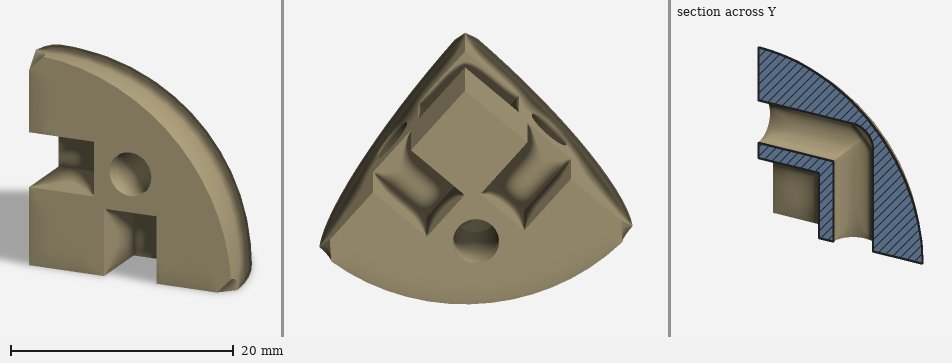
import cadquery as cq
import math

side = 19.95
hole_diameter = 4.13
drill_angle = 118.0
hole_position = 10.0
notch_width = 5.19
notch_depth = 6.38
notch_center = hole_position
tip_size = 1.44

ball_radius = math.hypot(side, tip_size)
hole_radius = hole_diameter / 2
drill_tip = hole_radius / math.tan(math.radians(drill_angle / 2))

AXIS_PLANES = ("XY", "YZ", "ZX")


def ball_octant():
    block = cq.Workplane("XY").box(side, side, side, centered=False)
    return block.intersect(cq.Workplane("XY").sphere(ball_radius))


def edge_notch(plane):
    """Square notch across the straight edge along the plane's normal."""
    start = notch_center - notch_width / 2
    return (
        cq.Workplane(plane)
        .workplane(offset=start)
        .rect(notch_depth, notch_depth, centered=False)
        .extrude(notch_width)
    )


def face_hole(plane):
    """Drilled hole whose full-diameter part ends where all hole axes meet."""
    profile = (
        cq.Workplane("XZ")
        .polyline([
            (0, 0),
            (hole_radius, 0),
            (hole_radius, hole_position),
            (0, hole_position + drill_tip),
        ])
        .close()
    )
    drill = profile.revolve(360, (0, 0), (0, 1)).val()
    face_plane = cq.Workplane(plane).center(hole_position, hole_position).plane
    return cq.Workplane(obj=drill.moved(cq.Location(face_plane)))


def tip_recess(plane):
    """45 degree cone that opens outward at the end of a straight edge."""
    axis = cq.Plane.named(plane).zDir
    apex = axis * (side - tip_size)
    return cq.Workplane(obj=cq.Solid.makeCone(0, tip_size, tip_size, apex, axis))


result = ball_octant()
for axis_plane in AXIS_PLANES:
    result = result.cut(edge_notch(axis_plane))
    result = result.cut(face_hole(axis_plane))
    result = result.cut(tip_recess(axis_plane))